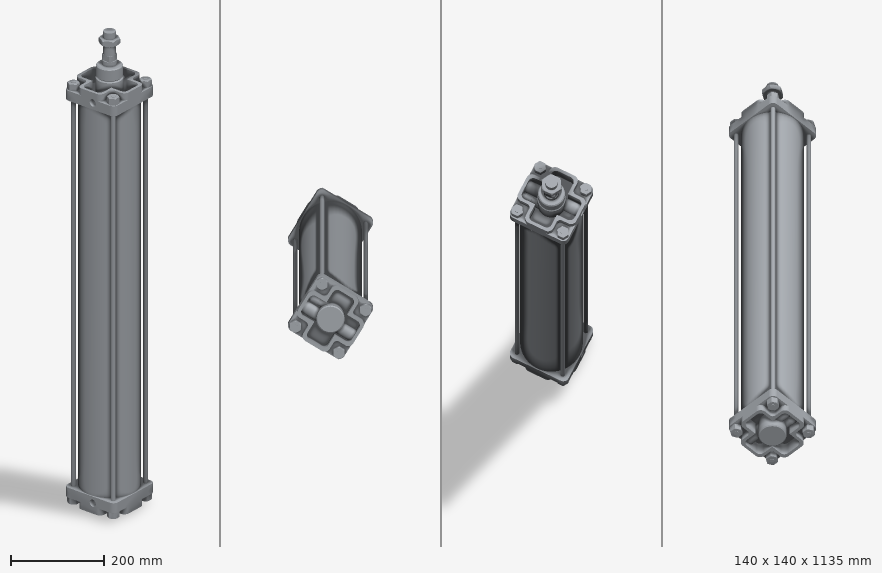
import cadquery as cq
import math

TOTAL_HEIGHT = 1135.0
TAIL_BOSS_HEIGHT = 7.0
COVER_HEIGHT = 41.0
HUB_TOP = 1055.0
HUB_STEP_TOP = 1026.0
HEAD_FACE = 1017.0
TAIL_FACE = TAIL_BOSS_HEIGHT
BARREL_BOTTOM = TAIL_FACE + COVER_HEIGHT
BARREL_TOP = HEAD_FACE - COVER_HEIGHT

COVER_WIDTH = 140.0
COVER_HALF = COVER_WIDTH / 2
COVER_CORNER_RADIUS = 12.0
LEDGE_DEPTH = 17.0
LEDGE_HEIGHT = COVER_HEIGHT - LEDGE_DEPTH
ARM_HALF_WIDTH = 33.0
ARM_END_RADIUS = 12.0
EDGE_MARGIN = 1.0
LEDGE_CORNER_RADIUS = 9.0
WALL = 7.0
POCKET_HALF_WIDTH = ARM_HALF_WIDTH - WALL
POCKET_REACH = COVER_HALF - WALL
POCKET_CORNER_RADIUS = 11.0
POCKET_DEPTH = 34.0
HUB_DIAMETER = 60.0
HUB_UPPER_DIAMETER = 58.0
HUB_CHAMFER = 2.0

PORT_DIAMETER = 17.0
PORT_BOSS_DIAMETER = 27.0
PORT_X = 10.0
PORT_DEPTH = 17.0
PORT_HEIGHT = 16.0
CUSHION_X = -16.0
CUSHION_DIAMETER = 17.0
CUSHION_COLLAR_DIAMETER = 19.0
CUSHION_COLLAR_START = 40.0
CUSHION_COLLAR_END = 57.0

BARREL_DIAMETER = 135.0
TIE_ROD_DIAMETER = 10.1
TIE_ROD_CIRCLE_DIAMETER = 155.0
TIE_ROD_OFFSET = TIE_ROD_CIRCLE_DIAMETER / 2 / math.sqrt(2)
TIE_ROD_CENTRES = [
    (x, y) for x in (-TIE_ROD_OFFSET, TIE_ROD_OFFSET) for y in (-TIE_ROD_OFFSET, TIE_ROD_OFFSET)
]
TIE_NUT_ACROSS_FLATS = 24.0
TIE_NUT_HEIGHT = 16.0

ROD_DIAMETER = 32.0
THREAD_DIAMETER = 27.0
ROD_BOTTOM = BARREL_TOP
WRENCH_WIDTH = 26.0
WRENCH_BOTTOM = 1067.0
WRENCH_TOP = 1080.0
NUT_ACROSS_FLATS = 41.0
NUT_BOTTOM = 1105.0
NUT_HEIGHT = 14.0
NUT_BEVEL_ANGLE = 30


def cylinder(diameter, bottom, top):
    """Upright cylinder on the Z axis."""
    return cq.Workplane("XY").workplane(offset=bottom).circle(diameter / 2).extrude(top - bottom)


def y_cylinder(diameter, x, z, start, end):
    """Cylinder parallel to Y, from start to end along Y."""
    profile = cq.Workplane("XZ", origin=(x, start, z)).circle(diameter / 2)
    return profile.extrude(start - end)


def hexagon_nut(across_flats, height):
    """Upright hexagonal nut standing on Z = 0, with flats facing +X and -X and bevelled corners."""
    across_corners = across_flats / math.cos(math.pi / 6)
    prism = cq.Workplane("XY").polygon(6, across_corners).extrude(height)
    bevel_width = (across_corners - across_flats) / 2
    bevel_height = bevel_width * math.tan(math.radians(NUT_BEVEL_ANGLE))
    envelope = cylinder(across_corners, 0, height).edges("%CIRCLE").chamfer(bevel_height, bevel_width)
    return prism.intersect(envelope).rotate((0, 0, 0), (0, 0, 1), 90)


def crossed_boxes(reach, half_width, bottom, top, end_radius):
    """Cross of two boxes with rounded ends, centred on the Z axis."""
    long_box = (
        cq.Workplane("XY")
        .workplane(offset=bottom)
        .rect(2 * reach, 2 * half_width)
        .extrude(top - bottom)
        .edges("|Z")
        .fillet(end_radius)
    )
    return long_box.union(long_box.rotate((0, 0, 0), (0, 0, 1), 90))


def cover_block():
    """Square plate under a raised cross; the inner face lies on Z = 0."""
    plate = (
        cq.Workplane("XY")
        .rect(COVER_WIDTH, COVER_WIDTH)
        .extrude(LEDGE_HEIGHT)
        .edges("|Z")
        .fillet(COVER_CORNER_RADIUS)
    )
    cross = crossed_boxes(COVER_HALF, ARM_HALF_WIDTH, 0, COVER_HEIGHT, ARM_END_RADIUS)
    corner_reach = ARM_HALF_WIDTH + EDGE_MARGIN
    inner_corners = cq.selectors.BoxSelector(
        (-corner_reach, -corner_reach, 0), (corner_reach, corner_reach, COVER_HEIGHT)
    )
    cross = cross.edges("|Z").edges(inner_corners).fillet(LEDGE_CORNER_RADIUS)
    return plate.union(cross)


def cover():
    """Cover with its inner face on Z = 0 and its outer face at COVER_HEIGHT."""
    floor = COVER_HEIGHT - POCKET_DEPTH

    pockets = crossed_boxes(
        POCKET_REACH, POCKET_HALF_WIDTH, floor, COVER_HEIGHT, POCKET_CORNER_RADIUS
    )
    pockets = pockets.cut(cylinder(HUB_DIAMETER, floor, COVER_HEIGHT))

    port_boss = y_cylinder(PORT_BOSS_DIAMETER, PORT_X, PORT_HEIGHT, -POCKET_REACH, POCKET_REACH)
    cushion = y_cylinder(CUSHION_DIAMETER, CUSHION_X, PORT_HEIGHT, 0, POCKET_REACH)
    collar = y_cylinder(
        CUSHION_COLLAR_DIAMETER, CUSHION_X, PORT_HEIGHT, CUSHION_COLLAR_START, CUSHION_COLLAR_END
    )
    pockets = pockets.cut(port_boss).cut(cushion).cut(collar)

    port = y_cylinder(PORT_DIAMETER, PORT_X, PORT_HEIGHT, -COVER_HALF, PORT_DEPTH - COVER_HALF)
    body = cover_block().cut(pockets).cut(port)

    tie_nut = hexagon_nut(TIE_NUT_ACROSS_FLATS, TIE_NUT_HEIGHT)
    tie_end = tie_nut.union(cylinder(TIE_ROD_DIAMETER, 0, LEDGE_DEPTH))
    for x, y in TIE_ROD_CENTRES:
        body = body.union(tie_end.translate((x, y, LEDGE_HEIGHT)))
    return body


def make_housing():
    """Barrel, tie rods and both covers, with a socket for the piston rod."""
    head_cover = cover().translate((0, 0, BARREL_TOP))
    tail_cover = cover().mirror("XY").translate((0, 0, BARREL_BOTTOM))
    hub = cylinder(HUB_DIAMETER, HEAD_FACE, HUB_STEP_TOP).faces(">Z").chamfer(HUB_CHAMFER)
    hub_upper = cylinder(HUB_UPPER_DIAMETER, HUB_STEP_TOP, HUB_TOP)
    hub_upper = hub_upper.edges("%CIRCLE").chamfer(HUB_CHAMFER)
    tail_boss = cylinder(HUB_DIAMETER, 0, TAIL_FACE).faces("<Z").chamfer(HUB_CHAMFER)

    body = cylinder(BARREL_DIAMETER, BARREL_BOTTOM, BARREL_TOP)
    tie_rod = cylinder(TIE_ROD_DIAMETER, BARREL_BOTTOM, BARREL_TOP)
    for x, y in TIE_ROD_CENTRES:
        body = body.union(tie_rod.translate((x, y, 0)))
    for piece in (head_cover, tail_cover, hub, hub_upper, tail_boss):
        body = body.union(piece)
    return body.cut(cylinder(ROD_DIAMETER, ROD_BOTTOM, HUB_TOP))


def make_piston_rod():
    """Round rod with four wrench flats and a thinner threaded end."""
    shank = cylinder(ROD_DIAMETER, ROD_BOTTOM, WRENCH_BOTTOM)
    wrench_square = (
        cq.Workplane("XY")
        .workplane(offset=WRENCH_BOTTOM)
        .rect(WRENCH_WIDTH, WRENCH_WIDTH)
        .extrude(WRENCH_TOP - WRENCH_BOTTOM)
    )
    wrench_flats = cylinder(ROD_DIAMETER, WRENCH_BOTTOM, WRENCH_TOP).intersect(wrench_square)
    thread = cylinder(THREAD_DIAMETER, WRENCH_TOP, TOTAL_HEIGHT)
    return shank.union(wrench_flats).union(thread)


def make_rod_nut():
    """Hexagonal nut on the threaded end."""
    blank = hexagon_nut(NUT_ACROSS_FLATS, NUT_HEIGHT).translate((0, 0, NUT_BOTTOM))
    return blank.cut(cylinder(THREAD_DIAMETER, NUT_BOTTOM, NUT_BOTTOM + NUT_HEIGHT))


housing = make_housing()
piston_rod = make_piston_rod()
rod_nut = make_rod_nut()

result = cq.Compound.makeCompound([housing.val(), piston_rod.val(), rod_nut.val()])